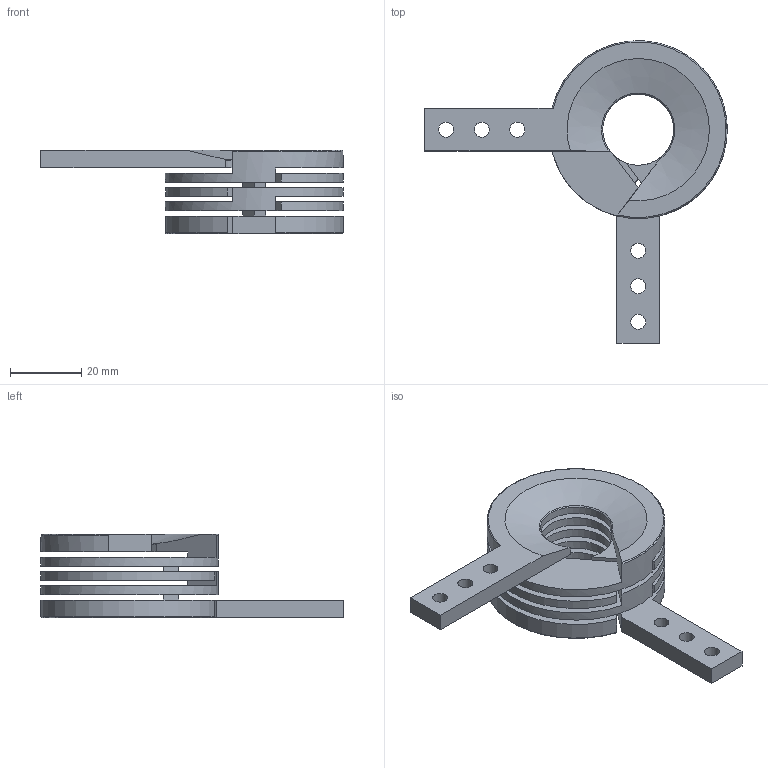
import cadquery as cq
import math


outer_radius = 25.0
bore_radius = 10.0
end_turn_height = 5.0
inner_turn_height = 2.5
inner_turn_count = 3
turn_gap = 1.5
slit_width = 1.5
slit_angle = 53.0
rim_fillet = 0.3

dish_radius = 20.0
dish_floor_radius = 10.3
dish_depth = 2.5

arm_width = 12.0
arm_reach = 60.0
hole_diameter = 4.2
hole_positions = (34.0, 44.0, 54.0)

turn_heights = [end_turn_height] + [inner_turn_height] * inner_turn_count + [end_turn_height]
turn_bases = [sum(turn_heights[:i]) + turn_gap * i for i in range(len(turn_heights))]
top_base = turn_bases[-1]
top_level = top_base + end_turn_height

half_arm = arm_width / 2
slit_slope = math.tan(math.radians(slit_angle))
slit_rim_y = -math.sqrt(outer_radius**2 - half_arm**2)
slit_cross_y = slit_rim_y + slit_slope * half_arm
slit_rise = slit_width * math.hypot(1, slit_slope)
slit_outer_x = -2 * half_arm
slit_inner_x = (-half_arm - slit_cross_y) / slit_slope


def slit_edge_y(x):
    """Y of the slit edge that rises toward +X."""
    return slit_cross_y + slit_slope * x


def prism(points, base, height):
    return cq.Workplane("XY", origin=(0, 0, base)).polyline(points).close().extrude(height)


def ring(base, height):
    return (
        cq.Workplane("XY", origin=(0, 0, base))
        .circle(outer_radius)
        .circle(bore_radius)
        .extrude(height)
    )


def rounded_ring(base, height, face):
    """Ring whose rim is rounded on the chosen face."""
    rim = cq.selectors.RadiusNthSelector(-1)
    return ring(base, height).faces(face).edges("%CIRCLE").edges(rim).fillet(rim_fillet)


def slit(base, height, mirrored):
    """Slanted cut through one turn; it rises toward +X, or toward -X when mirrored."""
    side = -1 if mirrored else 1
    points = [
        (side * slit_outer_x, slit_edge_y(slit_outer_x)),
        (side * slit_inner_x, slit_edge_y(slit_inner_x)),
        (side * slit_inner_x, slit_edge_y(slit_inner_x) + slit_rise),
        (side * slit_outer_x, slit_edge_y(slit_outer_x) + slit_rise),
    ]
    return prism(points, base, height)


def rim_link(base):
    """Wedge between the crossing slits and the rim, filling the gap above a turn."""
    wedge = prism(
        [
            (0, slit_cross_y),
            (slit_outer_x, slit_edge_y(slit_outer_x)),
            (-slit_outer_x, slit_edge_y(slit_outer_x)),
        ],
        base,
        turn_gap,
    )
    return wedge.intersect(ring(base, turn_gap))


def bore_link(base):
    """Wedge between the crossing slits and the bore, filling the gap above a turn."""
    tip_y = slit_cross_y + slit_rise
    wedge = prism(
        [
            (0, tip_y),
            (half_arm, tip_y + slit_slope * half_arm),
            (-half_arm, tip_y + slit_slope * half_arm),
        ],
        base,
        turn_gap,
    )
    return wedge.intersect(ring(base, turn_gap))


def arm(base, angle):
    """Drilled terminal bar; it points toward -X and is then turned by the angle."""
    root = math.sqrt((outer_radius - rim_fillet) ** 2 - half_arm**2)
    bar = (
        cq.Workplane("XY", origin=(0, 0, base))
        .rect(arm_reach - root, arm_width)
        .extrude(end_turn_height)
        .translate((-(arm_reach + root) / 2, 0, 0))
    )
    holes = (
        cq.Workplane("XY", origin=(0, 0, base))
        .pushPoints([(-distance, 0) for distance in hole_positions])
        .circle(hole_diameter / 2)
        .extrude(end_turn_height)
    )
    return bar.cut(holes).rotate((0, 0, 0), (0, 0, 1), angle)


def dish():
    """Cone from the top face down to the dish floor, then a short flare into the bore."""
    floor_level = top_level - dish_depth
    flare_level = floor_level - (dish_floor_radius - bore_radius)
    return (
        cq.Workplane("XZ")
        .moveTo(0, flare_level)
        .lineTo(bore_radius, flare_level)
        .lineTo(dish_floor_radius, floor_level)
        .lineTo(dish_radius, top_level)
        .lineTo(0, top_level)
        .close()
        .revolve(360, (0, 0), (0, 1))
    )


def top_turn():
    """Dished turn, open between the arm's edge and the slit edge."""
    turn = rounded_ring(top_base, end_turn_height, ">Z")
    opening = prism(
        [
            (slit_inner_x, -half_arm),
            (-outer_radius, -half_arm),
            (-outer_radius, slit_edge_y(slit_outer_x)),
            (slit_outer_x, slit_edge_y(slit_outer_x)),
        ],
        top_base,
        end_turn_height,
    )
    return turn.union(arm(top_base, 0)).cut(dish()).cut(opening)


def bottom_turn():
    """Turn with its rim rounded underneath and its arm pointing toward -Y."""
    turn = rounded_ring(0, end_turn_height, "<Z")
    return turn.union(arm(0, 90)).cut(slit(0, end_turn_height, mirrored=False))


def middle_turn(index):
    """Thin slit turn; odd ones have the mirrored slit."""
    base = turn_bases[index]
    height = turn_heights[index]
    return ring(base, height).cut(slit(base, height, mirrored=index % 2 == 1))


turns = [bottom_turn()] + [middle_turn(index) for index in range(1, inner_turn_count + 1)] + [top_turn()]
result = turns[0]
for index in range(1, len(turns)):
    gap_base = turn_bases[index] - turn_gap
    link = bore_link(gap_base) if index % 2 == 1 else rim_link(gap_base)
    result = result.union(link, clean=False).union(turns[index], clean=False)
result = result.clean()